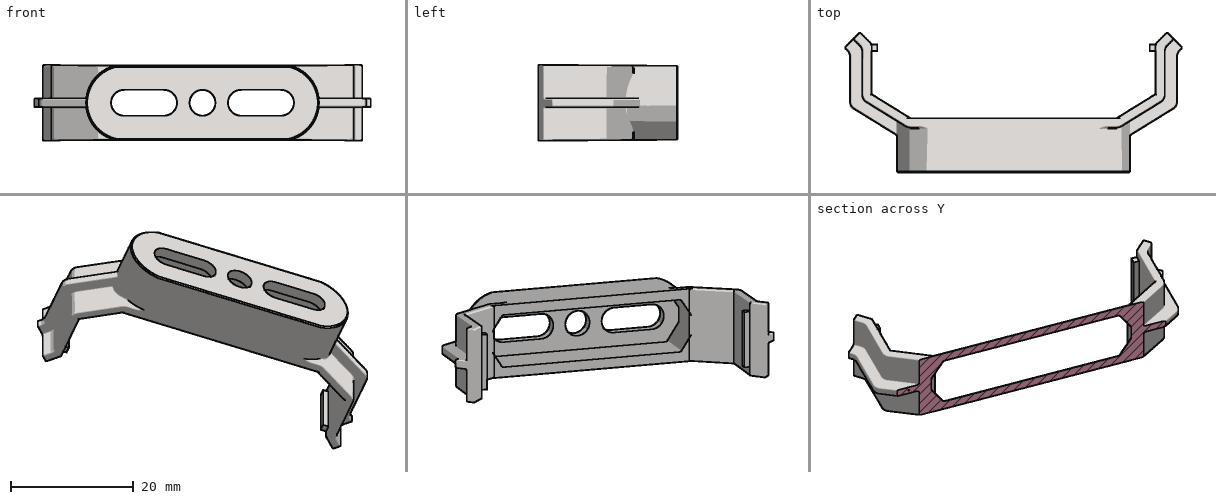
import cadquery as cq
import math

LENGTH = 54.8
DEPTH = 22.75
FRONT_HALF_HEIGHT = 6.0
BACK_HALF_HEIGHT = 6.2

BODY_DEPTH = 8.9
END_RADIUS = BACK_HALF_HEIGHT
END_CENTER_X = 12.75
FRONT_WALL = 1.85
END_WALL = 1.55
SIDE_WALL = 1.65
FRONT_CHAMFER = 0.2
CAVITY_BEVEL_X = 2.1
CAVITY_BEVEL_Z = 3.2
CAVITY_FILLET = 0.45

HOLE_RADIUS = 2.1
SLOT_INNER_CENTER_X = 6.25
SLOT_OUTER_CENTER_X = END_CENTER_X

ARM_ROOT_X = 16.75
ARM_INNER_X = 23.05
ARM_BEND_Y = 12.75
TIP_X = 25.0
TIP_FILLET = 0.2
TIP_ROUNDING_LOSS = TIP_FILLET * (math.sqrt(2) - 1)
TIP_Y = DEPTH + TIP_ROUNDING_LOSS
TIP_BEND_Y = TIP_Y - (TIP_X - ARM_INNER_X)
ARM_THICKNESS = 1.55
BEND_RADIUS = 1.35
EDGE_FILLET = 0.3
ROOT_FILLET = 0.2

RIB_DEPTH = (LENGTH / 2 + TIP_ROUNDING_LOSS - TIP_X) * math.sqrt(2)
RIB_HALF_HEIGHT = 0.7

LIP_REACH = 0.95
LIP_WIDTH = 1.1
LIP_BACK_Y = 20.85
LIP_HEIGHT = 9.25

INNER_PATH = [
    (0.0, BODY_DEPTH),
    (ARM_ROOT_X, BODY_DEPTH),
    (ARM_INNER_X, ARM_BEND_Y),
    (ARM_INNER_X, TIP_BEND_Y),
    (TIP_X, TIP_Y),
]
SLOPE, STRAIGHT, TIP = 1, 2, 3

ARM_STOCK = 1.1


def offset_path(points, distance):
    """Shift an open path to its right-hand side, keeping mitred corners."""
    headings = [math.atan2(b[1] - a[1], b[0] - a[0]) for a, b in zip(points, points[1:])]
    incoming = headings[:1] + headings
    outgoing = headings + headings[-1:]
    shifted = []
    for (x, y), before, after in zip(points, incoming, outgoing):
        middle = (before + after) / 2
        reach = distance / math.cos((after - before) / 2)
        shifted.append((x + reach * math.sin(middle), y - reach * math.cos(middle)))
    return shifted


def arm_strip(thickness, half_height):
    """Extruded band lying against the arm's inner face path, with rounded outer bends."""
    outer = offset_path(INNER_PATH, thickness)
    band = (
        cq.Workplane("XY", origin=(0, 0, -half_height))
        .polyline(INNER_PATH + outer[::-1])
        .close()
        .extrude(2 * half_height)
    )
    for x, y in outer[1:-1]:
        corner = cq.selectors.NearestToPointSelector((x, y, 0))
        band = band.edges(corner).fillet(BEND_RADIUS)
    return band


def height_envelope():
    """Wedge slightly taller toward the arm tips, with chamfered front edges."""
    return (
        cq.Workplane("YZ", origin=(-LENGTH, 0, 0))
        .polyline([
            (0, FRONT_CHAMFER - FRONT_HALF_HEIGHT),
            (FRONT_CHAMFER, -FRONT_HALF_HEIGHT),
            (TIP_Y, -BACK_HALF_HEIGHT),
            (TIP_Y, BACK_HALF_HEIGHT),
            (FRONT_CHAMFER, FRONT_HALF_HEIGHT),
            (0, FRONT_HALF_HEIGHT - FRONT_CHAMFER),
        ])
        .close()
        .extrude(2 * LENGTH)
    )


def stadium(center_x, radius, y_start, y_end):
    """Round-ended bar along X, extruded along Y."""
    return (
        cq.Workplane("XZ", origin=(0, y_start, 0))
        .slot2D(2 * (center_x + radius), 2 * radius)
        .extrude(y_start - y_end)
    )


def half_body():
    """The +X half of the solid body, before it is cut to height."""
    block = stadium(END_CENTER_X, END_RADIUS, 0, BODY_DEPTH).faces("<Y").chamfer(FRONT_CHAMFER)
    half_space = cq.Workplane("XY").box(LENGTH, LENGTH, LENGTH).translate((LENGTH / 2, 0, 0))
    return block.intersect(half_space)


def body_cavity():
    """Pocket open at the back, with its four long corners beveled."""
    half_length = END_CENTER_X + END_RADIUS - END_WALL
    half_height = FRONT_HALF_HEIGHT - SIDE_WALL
    flat_x = half_length - CAVITY_BEVEL_X
    flat_z = half_height - CAVITY_BEVEL_Z
    return (
        cq.Workplane("XZ", origin=(0, FRONT_WALL, 0))
        .polyline([
            (-half_length, -flat_z),
            (-flat_x, -half_height),
            (flat_x, -half_height),
            (half_length, -flat_z),
            (half_length, flat_z),
            (flat_x, half_height),
            (-flat_x, half_height),
            (-half_length, flat_z),
        ])
        .close()
        .extrude(FRONT_WALL - BODY_DEPTH)
        .edges("|Y")
        .fillet(CAVITY_FILLET)
    )


def screw_openings():
    """Round hole between two slots, through the front wall."""
    front = cq.Workplane("XZ")
    round_hole = front.circle(HOLE_RADIUS).extrude(-FRONT_WALL)
    slot_center = (SLOT_INNER_CENTER_X + SLOT_OUTER_CENTER_X) / 2
    slot_length = SLOT_OUTER_CENTER_X - SLOT_INNER_CENTER_X + 2 * HOLE_RADIUS
    slots = (
        front.pushPoints([(-slot_center, 0), (slot_center, 0)])
        .slot2D(slot_length, 2 * HOLE_RADIUS)
        .extrude(-FRONT_WALL)
    )
    return round_hole.union(slots)


def segment_middle(distance, segment):
    """Middle of one straight stretch of the arm, offset outward from its inner face."""
    start, end = offset_path(INNER_PATH, distance)[segment:segment + 2]
    return (start[0] + end[0]) / 2, (start[1] + end[1]) / 2


def fillet_near(solid, points, radius):
    """Fillet the edges whose middles lie nearest to the points on one side and their mirror in Z."""
    edges = []
    for x, y, z in points:
        for side in (-z, z):
            edges += solid.edges(cq.selectors.NearestToPointSelector((x, y, side))).vals()
    return solid.newObject(edges).fillet(radius)


def lip():
    """Bar on the arm's inner face that keeps the held object from sliding out."""
    return (
        cq.Workplane("XY", origin=(ARM_INNER_X - LIP_REACH, LIP_BACK_Y - LIP_WIDTH, 0))
        .box(LIP_REACH + ARM_THICKNESS / 2, LIP_WIDTH, LIP_HEIGHT, centered=(False, False, True))
    )


def right_half():
    """Solid half body with its arm, rib and retaining lip."""
    wall = arm_strip(ARM_THICKNESS, BACK_HALF_HEIGHT + ARM_STOCK)
    rib = arm_strip(RIB_DEPTH, RIB_HALF_HEIGHT)
    half = half_body().union(wall).union(rib)

    rib_edge = (*segment_middle(RIB_DEPTH, SLOPE), RIB_HALF_HEIGHT)
    half = fillet_near(half, [rib_edge], EDGE_FILLET)

    rib_root = (*segment_middle(ARM_THICKNESS, SLOPE), RIB_HALF_HEIGHT)
    diagonal = END_RADIUS * math.sqrt(0.5)
    arm_front_y = BODY_DEPTH - ARM_THICKNESS
    body_root = (END_CENTER_X + diagonal, arm_front_y, diagonal)
    rib_on_body = (END_CENTER_X + END_RADIUS, arm_front_y, RIB_HALF_HEIGHT)
    half = fillet_near(half, [rib_root, body_root, rib_on_body], ROOT_FILLET)

    half = half.intersect(height_envelope())
    rims = [(*segment_middle(0, segment), BACK_HALF_HEIGHT) for segment in (SLOPE, STRAIGHT, TIP)]
    rims.append((*segment_middle(ARM_THICKNESS, SLOPE), BACK_HALF_HEIGHT))
    half = fillet_near(half, rims, EDGE_FILLET)

    tip_face = cq.selectors.DirectionMinMaxSelector(cq.Vector(1, 1, 0))
    half = half.faces(tip_face).edges().fillet(TIP_FILLET)
    return half.union(lip())


solid_half = right_half()
result = solid_half.union(solid_half.mirror("YZ")).cut(body_cavity()).cut(screw_openings())